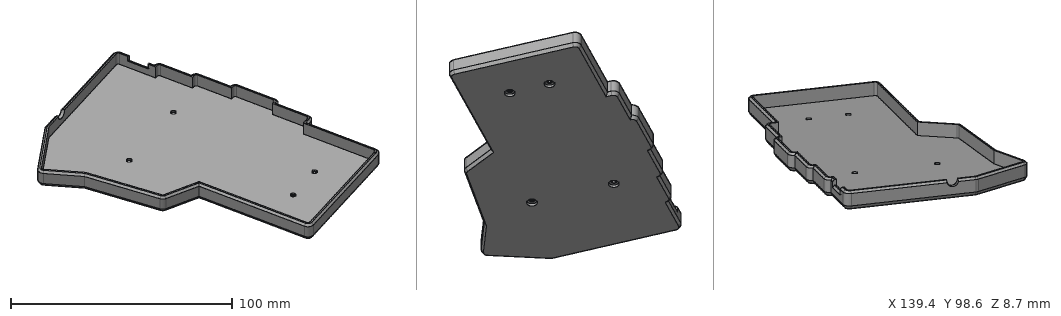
import cadquery as cq
import math

PITCH = 19.05
STAGGER = PITCH / 8
COLUMNS = 7
ROWS = 3
FIELD_WIDTH = COLUMNS * PITCH
FIELD_DEPTH = ROWS * PITCH

HEIGHT = 8.7
FLOOR = 2.25
OUTER_OFFSET = 3.0
WALL = 1.8
CHAMFER_WIDTH = 1.0
TOP_CHAMFER_RISE = 1.0
BOTTOM_CHAMFER_RISE = 1.75

THUMB_ANGLE = math.radians(24)
THUMB_FRONT_ANGLE = math.radians(6)
THUMB_SIDE = 1.5 * PITCH
THUMB_FRONT = 2 * PITCH
THUMB_REAR_X = 4 * PITCH
THUMB_CORNER_X = THUMB_SIDE * math.sin(THUMB_ANGLE)
THUMB_CORNER_Y = -28.325

FIRST_STEP_X = 20.0

SCREW_DIAMETER = 2.5
SCREW_HEAD_DIAMETER = 4.8
SCREW_HEAD_DEPTH = 1.4
SCREW_CENTRES = [
    (2 * PITCH, 2 * PITCH + 1.5 * STAGGER),
    (2 * PITCH, STAGGER),
    (6 * PITCH, PITCH),
    (6 * PITCH, 2 * PITCH),
]

CABLE_DIAMETER = 5.4
CABLE_Y = 8.75
CABLE_AXIS_DROP = 0.4

PORT_X = PITCH / 2
PORT_WIDTH = 10.9
PORT_DEPTH = 2.8


def key_field_outline():
    """Corners around the keys, counter-clockwise from the left end of the thumb side."""
    bend_x = THUMB_CORNER_X + PITCH * math.cos(THUMB_ANGLE)
    bend_y = THUMB_CORNER_Y + PITCH * math.sin(THUMB_ANGLE)
    points = [
        (0, THUMB_CORNER_Y + THUMB_SIDE * math.cos(THUMB_ANGLE)),
        (THUMB_CORNER_X, THUMB_CORNER_Y),
        (bend_x, bend_y),
        (
            bend_x + THUMB_FRONT * math.cos(THUMB_FRONT_ANGLE),
            bend_y + THUMB_FRONT * math.sin(THUMB_FRONT_ANGLE),
        ),
        (THUMB_REAR_X, 0),
        (FIELD_WIDTH, 0),
        (FIELD_WIDTH, FIELD_DEPTH),
    ]

    risers = [
        (FIELD_WIDTH - 2 * PITCH, 2),
        (FIELD_WIDTH - 3 * PITCH, 3),
        (FIELD_WIDTH - 4 * PITCH, 2),
        (FIELD_WIDTH - 5 * PITCH, 1),
        (FIRST_STEP_X, 0),
    ]
    level = 0
    for x, next_level in risers:
        points.append((x, FIELD_DEPTH + level * STAGGER))
        points.append((x, FIELD_DEPTH + next_level * STAGGER))
        level = next_level
    points.append((0, FIELD_DEPTH))
    return points


def rim_profile():
    """Half section of the chamfered rim as (distance outside the key field, Z)."""
    narrow = OUTER_OFFSET - CHAMFER_WIDTH
    return [
        (0, 0),
        (narrow, 0),
        (OUTER_OFFSET, BOTTOM_CHAMFER_RISE),
        (OUTER_OFFSET, HEIGHT - TOP_CHAMFER_RISE),
        (narrow, HEIGHT),
        (0, HEIGHT),
    ]


def rim_corner(x, y):
    """Chamfered post that rounds the rim about one key field corner."""
    post = cq.Workplane("XZ").polyline(rim_profile()).close().revolve(360, (0, 0), (0, 1))
    return post.translate((x, y, 0))


def rim_side(start, end):
    """Straight stretch of rim along the outer side of the edge from start to end."""
    run_x = end[0] - start[0]
    run_y = end[1] - start[1]
    plane = cq.Plane(origin=(*start, 0), xDir=(run_y, -run_x, 0), normal=(-run_x, -run_y, 0))
    return cq.Workplane(plane).polyline(rim_profile()).close().extrude(-math.hypot(run_x, run_y))


def cavity():
    """Sheer-walled space above the floor, open at the top."""
    return (
        cq.Workplane("XY", origin=(0, 0, FLOOR))
        .polyline(key_field_outline())
        .close()
        .offset2D(OUTER_OFFSET - WALL, "arc")
        .extrude(HEIGHT - FLOOR)
    )


def tray():
    """Rounded, chamfered case body, hollowed out above the floor."""
    outline = key_field_outline()
    body = cq.Workplane("XY").polyline(outline).close().extrude(HEIGHT)
    for start, end in zip(outline, outline[1:] + outline[:1]):
        body = body.union(rim_side(start, end)).union(rim_corner(*start))
    return body.cut(cavity())


def screw_pegs(diameter, height):
    """Cylinders rising from the underside at every screw position."""
    return cq.Workplane("XY").pushPoints(SCREW_CENTRES).circle(diameter / 2).extrude(height)


def cable_notch():
    """Cylinder along X through the left wall only."""
    return (
        cq.Workplane("YZ", origin=(-OUTER_OFFSET, 0, 0))
        .center(CABLE_Y, HEIGHT - CABLE_AXIS_DROP)
        .circle(CABLE_DIAMETER / 2)
        .extrude(2 * WALL)
    )


def port_notch():
    """Slot through the rear wall whose sill repeats the rim's outer chamfer."""
    outer_y = FIELD_DEPTH + OUTER_OFFSET
    inner_y = outer_y - 2 * WALL
    sill = HEIGHT - PORT_DEPTH
    section = [
        (inner_y, sill),
        (outer_y - CHAMFER_WIDTH, sill),
        (outer_y, sill - TOP_CHAMFER_RISE),
        (outer_y, HEIGHT),
        (inner_y, HEIGHT),
    ]
    return (
        cq.Workplane("YZ", origin=(PORT_X - PORT_WIDTH / 2, 0, 0))
        .polyline(section)
        .close()
        .extrude(PORT_WIDTH)
    )


result = (
    tray()
    .cut(screw_pegs(SCREW_DIAMETER, FLOOR))
    .cut(screw_pegs(SCREW_HEAD_DIAMETER, SCREW_HEAD_DEPTH))
    .cut(cable_notch())
    .cut(port_notch())
)